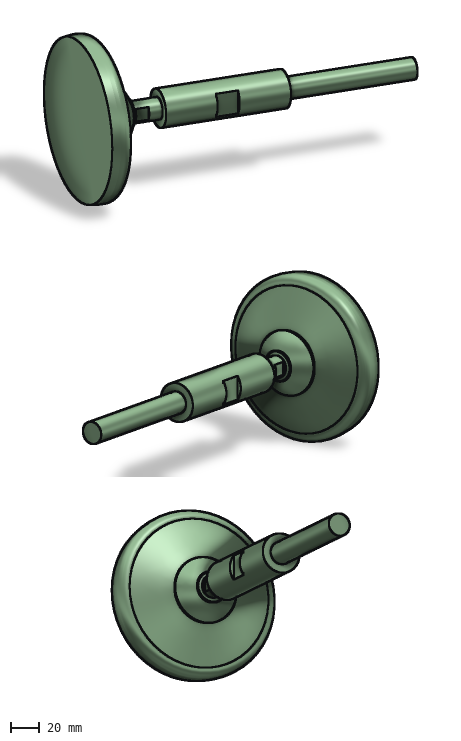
import cadquery as cq
import math

total_length = 254.0
foot_widest_start = 6.4
foot_widest_end = 9.7
foot_shoulder_y = 16.3
foot_cone_top_y = 26.5
foot_top_y = 28.0
collar_bottom_y = 37.5
collar_top_y = 38.5
neck_y = 39.0
rod_flat_start = 40.6
rod_flat_length = 10.0
sleeve_start = 60.7
sleeve_length = 94.7
sleeve_flat_length = 16.8

foot_radius = 60.0
foot_base_radius = 59.2
foot_shoulder_radius = 52.8
dome_base_radius = 23.4
dome_centre_y = 11.0
collar_radius = 10.7
rod_radius = 8.0
rod_flat_width = 13.0
sleeve_radius = 14.0
sleeve_flat_width = 22.0


def cylinder_along_y(radius, start, length):
    """Solid cylinder on the Y axis, starting at the given Y."""
    return cq.Workplane("XZ", origin=(0, start, 0)).circle(radius).extrude(-length)


def cut_side_flats(body, radius, flat_width, start, length):
    """Cut two opposite flats, facing -X and +X, into a round body."""
    stock = cylinder_along_y(2 * radius, start, length)
    between_flats = cq.Workplane("XY").box(flat_width, 2 * total_length, 4 * radius)
    return body.cut(stock.cut(between_flats))


def revolve_about_y(profile):
    """Turn a closed XY profile a full revolution about the Y axis."""
    return profile.close().revolve(360, (0, 0, 0), (0, 1, 0))


def make_foot():
    """Round base with a rounded rim, a conical top and a short seat under the dome."""
    shoulder_inset = foot_radius - foot_shoulder_radius
    shoulder_rise = foot_shoulder_y - foot_widest_end
    rim_radius = (shoulder_inset**2 + shoulder_rise**2) / (2 * shoulder_inset)
    half_turn = math.asin(shoulder_rise / rim_radius) / 2
    rim_mid = (
        foot_radius - rim_radius * (1 - math.cos(half_turn)),
        foot_widest_end + rim_radius * math.sin(half_turn),
    )
    profile = (
        cq.Workplane("XY")
        .lineTo(foot_base_radius, 0)
        .lineTo(foot_radius, foot_widest_start)
        .lineTo(foot_radius, foot_widest_end)
        .threePointArc(rim_mid, (foot_shoulder_radius, foot_shoulder_y))
        .lineTo(dome_base_radius, foot_cone_top_y)
        .lineTo(dome_base_radius, foot_top_y)
        .lineTo(0, foot_top_y)
    )
    return revolve_about_y(profile)


def make_spindle():
    """Long rod with a spherical dome, a thin collar tapering into the rod, and a pair of wrench flats."""
    dome_radius = math.hypot(dome_base_radius, foot_top_y - dome_centre_y)
    dome_mid_y = (foot_top_y + collar_bottom_y) / 2
    dome_mid_radius = math.sqrt(dome_radius**2 - (dome_mid_y - dome_centre_y) ** 2)
    dome_top_radius = math.sqrt(dome_radius**2 - (collar_bottom_y - dome_centre_y) ** 2)
    profile = (
        cq.Workplane("XY")
        .moveTo(0, foot_top_y)
        .lineTo(dome_base_radius, foot_top_y)
        .threePointArc((dome_mid_radius, dome_mid_y), (dome_top_radius, collar_bottom_y))
        .lineTo(collar_radius, collar_bottom_y)
        .lineTo(collar_radius, collar_top_y)
        .lineTo(rod_radius, neck_y)
        .lineTo(rod_radius, total_length)
        .lineTo(0, total_length)
    )
    spindle = revolve_about_y(profile)
    return cut_side_flats(spindle, rod_radius, rod_flat_width, rod_flat_start, rod_flat_length)


def make_sleeve():
    """Tube around the rod with a pair of wrench flats at mid-length."""
    tube = cylinder_along_y(sleeve_radius, sleeve_start, sleeve_length)
    tube = tube.cut(cylinder_along_y(rod_radius, sleeve_start, sleeve_length))
    flat_start = sleeve_start + (sleeve_length - sleeve_flat_length) / 2
    return cut_side_flats(tube, sleeve_radius, sleeve_flat_width, flat_start, sleeve_flat_length)


foot = make_foot()
spindle = make_spindle()
sleeve = make_sleeve()

result = cq.Compound.makeCompound([foot.val(), spindle.val(), sleeve.val()])